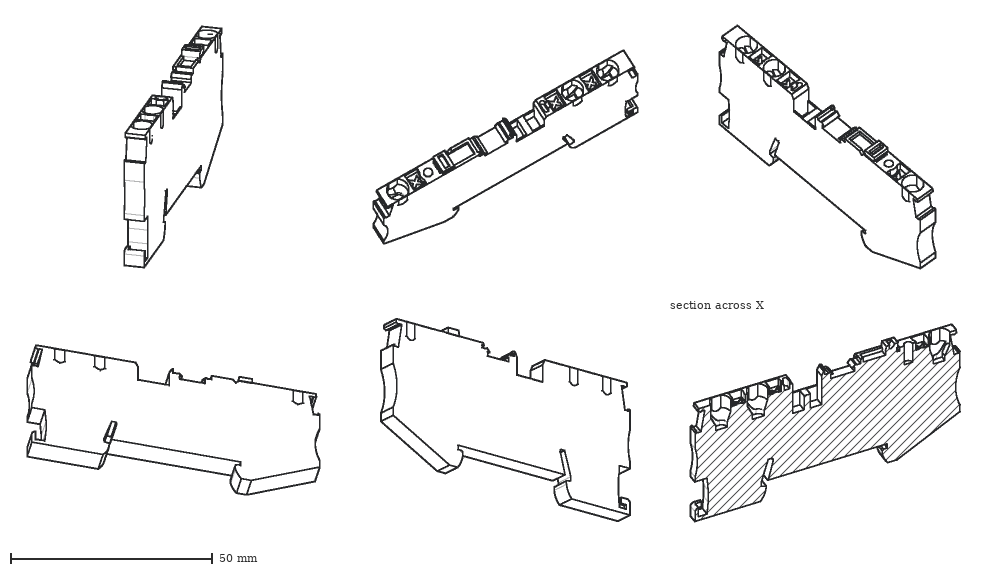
import cadquery as cq
width = 5.15
length = 73.7
height = 36.85
half_width = width / 2
half_length = length / 2
top_z = 35.2

lip_z = 34.05
lip_y = 35.8
ledge_z = 27.8
grip_top_z = 23.1

rail_z = 6.0
rail_catch_z = 4.8
foot_slot_z = 12.45

notch_floor_z = 29.2
notch_y_min = -9.65
notch_y_max = -1.7
notch_bend_z = 33.75
groove_floor_z = 32.05
groove_center_y = 4.2
groove_half = 3.25
lug_tip_half = 2.6
lug_z = 33.2
lug_top_z = 34.1
seat_z = 33.9
hook_z = 34.6
hook_tip_half = 4.35
seat_half = 4.95
hook_start_x = -1.8

opening_half_x = 2.2
notch_pocket_depth = 4.4
channel_half_x = 1.8
wire_entries = [(31.25, 1), (-19.45, -1), (-29.7, -1)]
wire_mouth_radius = 2.7
wire_throat_radius = 1.5
wire_side_limit = 2.4
wire_mouth_depth = 3.9
wire_depth = 7.0
wire_throat_depth = 1.5
wire_throat_shift = 0.3
wire_ramp_foot = 1.3
button_length = 3.6
button_depth = 2.4
cross_half_x = 1.5
cross_half_y = 1.2
cross_arm = 1.0
cross_height = 0.2
test_hole_y = 22.5
test_hole_radius = 1.1
test_hole_wall = 1.0
wire_wall = 0.8
test_hole_depth = 5.9
probe_y = -11.3
probe_length = 3.25
probe_width = 1.3
probe_ramp_reach = 1.3
probe_ramp_depth = 1.1
probe_ramp_half_x = 0.8
probe_wall_radius = 1.6

slider_y_min = 16.1
slider_y_max = 19.6
slider_width = 4.7
slider_lean = 0.2
channel_y_min = 9.95
channel_y_max = 20.0
channel_depth = 1.1


def end_points(side):
    """Top lip, tapered neck and shoulder of one end, from the top downward."""
    points = [
        (lip_y, top_z),
        (lip_y + 0.15, lip_z + 0.2),
        (lip_y - 0.6, lip_z - 0.2),
        (lip_y - 0.8, lip_z),
        (34.2, lip_z),
        (35.2, ledge_z),
        (36.4, ledge_z),
        (36.4, ledge_z + 0.5),
        (half_length, ledge_z + 0.3),
    ]
    return [(side * y, z) for y, z in points]


def groove_side(side):
    """One side of the marker groove, from the hook tip down to the groove floor."""
    offsets = [
        (hook_tip_half, hook_z),
        (seat_half, hook_z),
        (seat_half, seat_z),
        (3.9, seat_z),
        (3.5, lug_top_z),
        (lug_tip_half, lug_z),
        (groove_half, lug_z),
        (groove_half, groove_floor_z),
    ]
    return [(groove_center_y + side * offset, z) for offset, z in offsets]


def line_through(sketch, points):
    for point in points:
        sketch = sketch.lineTo(*point)
    return sketch


def make_housing():
    outline = cq.Workplane("YZ", origin=(-half_width, 0, 0)).moveTo(8.9, top_z)
    outline = line_through(outline, end_points(1))
    outline = outline.lineTo(half_length, grip_top_z)
    outline = outline.threePointArc((35.7, 17.2), (half_length, 11.35))
    outline = line_through(outline, [(half_length, 9.15), (19.3, 0), (16.7, 0)])
    outline = outline.threePointArc((15.7, 1.7), (15.2, 3.25))
    outline = line_through(outline, [
        (15.2, 4.4),
        (15.55, rail_catch_z),
        (16.6, rail_catch_z),
        (16.6, rail_z),
        (-16.6, rail_z),
    ])
    outline = line_through(outline, [
        (-15.1, 11.9),
        (-15.3, foot_slot_z),
        (-16.4, foot_slot_z),
        (-18.35, rail_z),
        (-18.35, rail_catch_z),
        (-17.0, 4.4),
        (-17.0, 3.6),
    ])
    outline = outline.threePointArc((-17.6, 1.55), (-18.65, 0))
    outline = line_through(outline, [(-half_length, 0), (-half_length, 3.2)])
    outline = outline.threePointArc((-36.5, 3.8), (-35.9, 4.1))
    outline = line_through(outline, [
        (-34.1, 4.1),
        (-34.1, 2.5),
        (-35.6, 2.5),
        (-35.6, 1.3),
        (-33.5, 1.3),
        (-33.25, 5.0),
        (-33.25, 8.7),
        (-33.5, foot_slot_z),
        (-half_length, foot_slot_z),
        (-half_length, 14.1),
    ])
    outline = outline.threePointArc((-36.25, 18.7), (-half_length, grip_top_z))
    outline = line_through(outline, reversed(end_points(-1)))
    outline = line_through(outline, [
        (notch_y_min - 0.7, top_z),
        (notch_y_min, notch_bend_z),
        (notch_y_min, notch_floor_z),
        (notch_y_max, notch_floor_z),
        (notch_y_max, notch_bend_z),
        (-1.1, 35.0),
        (-0.8, top_z),
        (-0.5, top_z),
    ])
    outline = line_through(outline, groove_side(-1))
    outline = line_through(outline, reversed(groove_side(1)))
    return outline.close().extrude(width)


def box(x_min, x_max, y_min, y_max, z_min, z_max):
    size = (x_max - x_min, y_max - y_min, z_max - z_min)
    return cq.Workplane("XY").box(*size, centered=False).translate((x_min, y_min, z_min))


def cylinder(center_y, radius, z_min, z_max):
    return cq.Workplane("XY", origin=(0, center_y, z_min)).circle(radius).extrude(z_max - z_min)


def profile_across(points, half_x):
    """Y-Z polygon extruded symmetrically about the middle of the housing."""
    return cq.Workplane("YZ").polyline(points).close().extrude(half_x, both=True)


def hook_clearance(side):
    """Removes a hook tip over all of the width except the narrow -X strip."""
    near = groove_center_y + side * (hook_tip_half - 0.4)
    far = groove_center_y + side * seat_half
    return box(hook_start_x, half_width, min(near, far), max(near, far), seat_z, height)


def release_hook_clearance():
    """Removes the inward tip of the release hook except on the narrow -X strip."""
    return box(hook_start_x, half_width, -35.9, -33.9, 1.3, 4.2)


def wire_entry(center_y, side):
    """Round mouth that tapers to a round-ended throat with a ramp on its outer side."""
    throat_y = center_y - side * wire_throat_shift
    mouth_z = top_z - wire_mouth_depth
    floor_z = top_z - wire_depth
    bottom_z = floor_z - wire_throat_depth
    mouth = cylinder(center_y, wire_mouth_radius, mouth_z, top_z)
    funnel = (
        cq.Workplane("XY", origin=(0, center_y, mouth_z))
        .circle(wire_mouth_radius)
        .workplane(offset=floor_z - mouth_z)
        .center(0, throat_y - center_y)
        .circle(wire_throat_radius)
        .loft(combine=True)
    )
    throat = cylinder(throat_y, wire_throat_radius, bottom_z, floor_z)
    ramp = profile_across([
        (throat_y, mouth_z),
        (center_y + side * wire_mouth_radius, mouth_z),
        (center_y + side * wire_ramp_foot, floor_z),
        (center_y + side * wire_ramp_foot, bottom_z),
        (throat_y, bottom_z),
    ], wire_throat_radius)
    ramp = ramp.intersect(cylinder(center_y, wire_mouth_radius, bottom_z, top_z))
    limit = box(-wire_side_limit, wire_side_limit, -half_length, half_length, 0, height)
    return mouth.union(funnel).union(throat).union(ramp).intersect(limit)


def release_opening(center_y, wall_y, wall_radius):
    """Rectangular pocket with a raised cross; a neighbouring round wall bulges into it."""
    floor_z = top_z - button_depth
    y_min = center_y - button_length / 2
    pocket = box(-opening_half_x, opening_half_x, y_min, y_min + button_length, floor_z, top_z)
    wall = cylinder(wall_y, wall_radius, floor_z, top_z)
    for slant in (-1, 1):
        arm = [
            (-slant * cross_half_x, -cross_half_y),
            (-slant * (cross_half_x - cross_arm), -cross_half_y),
            (slant * cross_half_x, cross_half_y),
            (slant * (cross_half_x - cross_arm), cross_half_y),
        ]
        bar = cq.Workplane("XY", origin=(0, center_y, floor_z)).polyline(arm).close()
        pocket = pocket.cut(bar.extrude(cross_height))
    return pocket.cut(wall)


def probe_slot():
    """Oblong slot with a narrow ramp on its -Y side."""
    slot = (
        cq.Workplane("XY", origin=(0, probe_y, top_z))
        .slot2D(probe_length, probe_width)
        .extrude(-button_depth)
    )
    ramp = profile_across([
        (probe_y, top_z),
        (probe_y - probe_ramp_reach, top_z),
        (probe_y - probe_width / 2, top_z - probe_ramp_depth),
        (probe_y, top_z - probe_ramp_depth),
    ], probe_ramp_half_x)
    return slot.union(ramp)


def side_notch():
    """V-shaped notch through the +X wall of the slider channel."""
    notch = cq.Workplane("YZ", origin=(channel_half_x, 0, 0))
    notch = notch.polyline([(16.15, top_z), (14.5, top_z), (15.3, top_z - 1.0)])
    return notch.close().extrude(half_width)


def marker_slider():
    slider = profile_across([
        (slider_y_min, top_z - channel_depth),
        (slider_y_min, top_z),
        (slider_y_min + slider_lean, height),
        (slider_y_max, height),
        (slider_y_max, top_z + 0.2),
        (slider_y_max - 0.2, top_z),
        (slider_y_max - 0.2, top_z - channel_depth),
    ], slider_width / 2)
    grip = (
        cq.Workplane("YZ")
        .moveTo(17.25, height)
        .lineTo(17.25, height - 1.2)
        .threePointArc((18.1, height - 0.8), (18.6, height))
        .close()
        .extrude(channel_half_x, both=True)
    )
    return slider.cut(grip)


result = make_housing()

for side in (-1, 1):
    result = result.cut(hook_clearance(side))
result = result.cut(release_hook_clearance())

for center_y, side in wire_entries:
    result = result.cut(wire_entry(center_y, side))
result = result.cut(release_opening(26.1, test_hole_y, test_hole_radius + test_hole_wall))
result = result.cut(release_opening(-14.4, probe_y, probe_wall_radius))
result = result.cut(release_opening(-24.6, -19.45, wire_mouth_radius + wire_wall))
result = result.cut(cylinder(test_hole_y, test_hole_radius, top_z - test_hole_depth, top_z))
result = result.cut(probe_slot())

pocket_floor_z = notch_floor_z - notch_pocket_depth
for y_min, y_max in ((-4.8, notch_y_max), (notch_y_min, -6.55)):
    result = result.cut(box(-opening_half_x, opening_half_x, y_min, y_max, pocket_floor_z, notch_floor_z))

channel_floor_z = top_z - channel_depth
result = result.cut(
    box(-channel_half_x, channel_half_x, channel_y_min, channel_y_max, channel_floor_z, top_z)
)
result = result.cut(side_notch())
result = result.union(marker_slider())